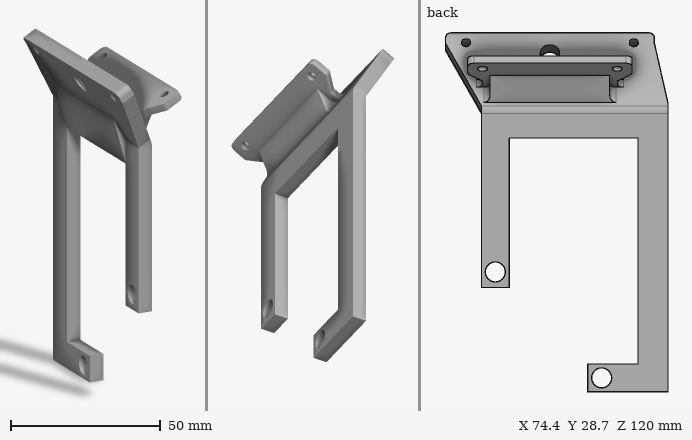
import cadquery as cq
import math

height = 120.0
thickness = 5.0
frame_width = 62.4
left_leg_width = 10.1
right_leg_width = 9.4
right_leg_bottom = 34.8
foot_length = 26.9
foot_height = 9.4
frame_hole_diameter = 6.6
foot_hole_inset = 4.7
leg_hole_height = 5.3
right_leg_left = frame_width - right_leg_width

tilt = math.radians(30)
plate_length = 28.2
bend_height = height - plate_length * math.cos(tilt) - thickness * math.sin(tilt)
plate_left = 4.5
plate_slant_start = 1.0
plate_right = 74.4
plate_slant_end = 24.2
corner_radius = 2.0
plate_center = 39.5
plate_hole_diameter = 3.0
plate_hole_spacing = 56.0
plate_hole_distance = 24.4
center_hole_diameter = 6.5
center_hole_distance = 20.3

web_top_distance = 8.9
web_drop = 8.3

flange_thickness = 2.9
flange_bottom_distance = 7.2
flange_depth = 21.0
flange_width = 55.0
neck_width = 45.0
shoulder_depth = 14.0
neck_depth = 9.0
shoulder_radius = 1.4
flange_hole_diameter = 3.2
flange_hole_depth = 17.3

gusset_width = 40.0
gusset_start_distance = 1.3
gusset_depth = 13.0
root_radius = 2.0

up_plate = cq.Vector(0, -math.sin(tilt), math.cos(tilt))
off_back = cq.Vector(0, math.cos(tilt), math.sin(tilt))
bend = cq.Vector(0, 0, bend_height)


def tilted_point(distance, depth):
    """(Y, Z) of a point a distance up the plate and a depth behind its front face."""
    point = bend + up_plate * distance + off_back * depth
    return point.y, point.z


def shelf_plane(distance):
    """Plane square to the plate: local x is X, local y is depth behind the front face."""
    return cq.Plane(origin=bend + up_plate * distance, xDir=(1, 0, 0), normal=up_plate)


def rooted_outline(plane, root_width, upper_points):
    """Symmetric outline on the plate's back with concave rounds at its root.

    The upper points run up the right side, as half width and depth.
    """
    half = root_width / 2
    diagonal = root_radius * (1 - math.sqrt(0.5))
    root_top = thickness + root_radius
    toe = half + root_radius
    sketch = (
        cq.Workplane(plane)
        .moveTo(plate_center - toe, thickness)
        .lineTo(plate_center + toe, thickness)
        .threePointArc(
            (plate_center + half + diagonal, thickness + diagonal),
            (plate_center + half, root_top),
        )
    )
    for half_width, depth in upper_points:
        sketch = sketch.lineTo(plate_center + half_width, depth)
    for half_width, depth in reversed(upper_points):
        sketch = sketch.lineTo(plate_center - half_width, depth)
    return (
        sketch.lineTo(plate_center - half, root_top)
        .threePointArc(
            (plate_center - half - diagonal, thickness + diagonal),
            (plate_center - toe, thickness),
        )
        .close()
    )


def make_frame():
    front = cq.Workplane("XZ")
    outline = [
        (0, 0),
        (foot_length, 0),
        (foot_length, foot_height),
        (left_leg_width, foot_height),
        (left_leg_width, bend_height - web_drop),
        (right_leg_left, bend_height - web_drop),
        (right_leg_left, right_leg_bottom),
        (frame_width, right_leg_bottom),
        (frame_width, bend_height),
        (0, bend_height),
    ]
    hole_centers = [
        (foot_length - foot_hole_inset, foot_height / 2),
        (frame_width - right_leg_width / 2, right_leg_bottom + leg_hole_height),
    ]
    holes = front.pushPoints(hole_centers).circle(frame_hole_diameter / 2).extrude(-thickness)
    return front.polyline(outline).close().extrude(-thickness).cut(holes)


def make_bend():
    """Rounded sector filling the back of the bend."""
    mid_angle = tilt / 2
    mid_arc = (thickness * math.cos(mid_angle), bend_height + thickness * math.sin(mid_angle))
    return (
        cq.Workplane("YZ")
        .moveTo(0, bend_height)
        .lineTo(thickness, bend_height)
        .threePointArc(mid_arc, tilted_point(0, thickness))
        .close()
        .extrude(frame_width)
    )


def make_web():
    profile = [(0, bend_height - web_drop), (0, bend_height), tilted_point(web_top_distance, 0)]
    web_width = right_leg_left - left_leg_width
    return cq.Workplane("YZ", origin=(left_leg_width, 0, 0)).polyline(profile).close().extrude(web_width)


def make_plate():
    face = cq.Workplane(cq.Plane(origin=bend, xDir=(1, 0, 0), normal=off_back * -1))
    outline = [
        (0, 0),
        (frame_width, 0),
        (plate_right, plate_slant_end),
        (plate_right, plate_length),
        (plate_left, plate_length),
        (plate_left, plate_slant_end),
        (0, plate_slant_start),
    ]
    plate = face.polyline(outline).close().extrude(-thickness)
    top_corners = cq.selectors.BoxSelector(
        (-1.2, *tilted_point(plate_length - 1.2, -1.2)),
        (plate_right + 1.2, *tilted_point(plate_length + 1.2, thickness + 1.2)),
    )
    plate = plate.edges(cq.selectors.ParallelDirSelector(off_back)).edges(top_corners).fillet(corner_radius)
    mount_holes = [(plate_center + side * plate_hole_spacing / 2, plate_hole_distance) for side in (-1, 1)]
    plate = plate.cut(face.pushPoints(mount_holes).circle(plate_hole_diameter / 2).extrude(-thickness))
    center_hole = face.center(plate_center, center_hole_distance).circle(center_hole_diameter / 2)
    return plate.cut(center_hole.extrude(-thickness))


def make_flange():
    plane = shelf_plane(flange_bottom_distance)
    side = [
        (neck_width / 2, neck_depth),
        (flange_width / 2, shoulder_depth),
        (flange_width / 2, flange_depth),
    ]
    flange = rooted_outline(plane, neck_width, side).extrude(flange_thickness)

    def edges_at(half_width, depth):
        """Select the matching left and right edges through the flange thickness."""
        middle = tilted_point(flange_bottom_distance + flange_thickness / 2, depth)
        picked = None
        for x in (plate_center - half_width, plate_center + half_width):
            nearest = cq.selectors.NearestToPointSelector((x, *middle))
            picked = nearest if picked is None else picked + nearest
        return picked

    radii = (shoulder_radius, shoulder_radius, corner_radius)
    for corner, radius in zip(side, radii):
        flange = flange.edges(edges_at(*corner)).fillet(radius)

    hole_centers = [(plate_center + sign * neck_width / 2, flange_hole_depth) for sign in (-1, 1)]
    holes = cq.Workplane(plane).pushPoints(hole_centers).circle(flange_hole_diameter / 2)
    return flange.cut(holes.extrude(flange_thickness))


def make_gusset():
    """Block with rounded roots, trimmed to a triangle seen from the side."""
    rise = flange_bottom_distance - gusset_start_distance
    side = [(gusset_width / 2, gusset_depth)]
    block = rooted_outline(shelf_plane(gusset_start_distance), gusset_width, side).extrude(rise)
    triangle = [
        tilted_point(gusset_start_distance, thickness),
        tilted_point(flange_bottom_distance, thickness),
        tilted_point(flange_bottom_distance, gusset_depth),
    ]
    return block.intersect(cq.Workplane("YZ").polyline(triangle).close().extrude(plate_right))


result = make_frame()
for piece in (make_bend(), make_web(), make_plate(), make_flange(), make_gusset()):
    result = result.union(piece)